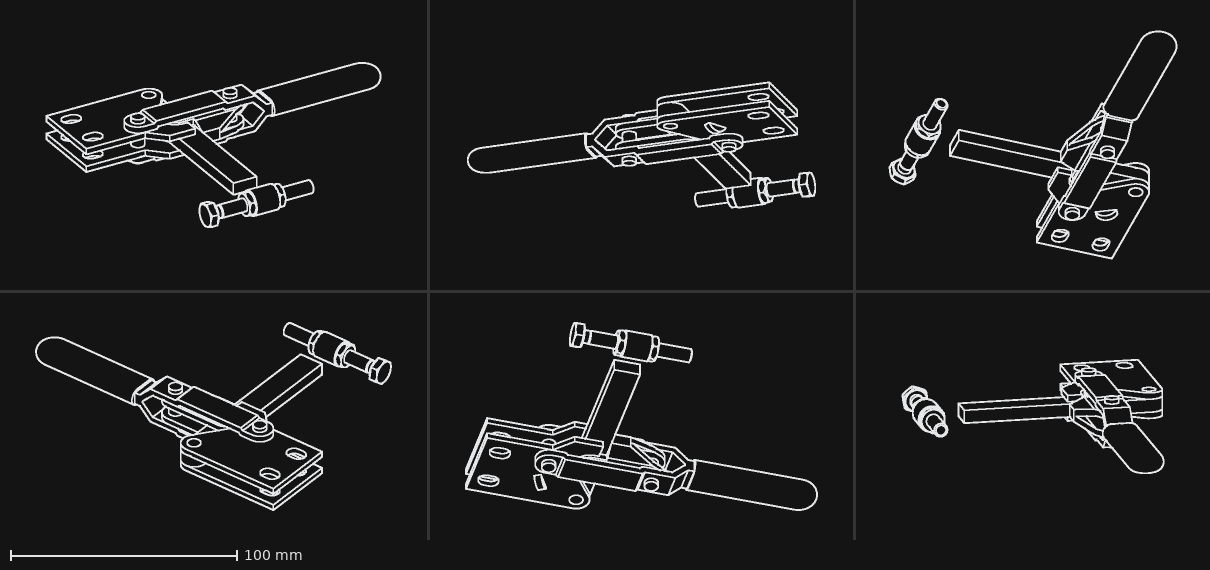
import cadquery as cq
import math


arm_thickness = 6.0
plate_thickness = 2.9
pin_radius = 3.0
pin_half_length = 11.0
bar_width = 12.0
bar_radius = bar_width / 2
arm_width = 11.9
arm_radius = arm_width / 2
gap_half = arm_thickness / 2
plate_outer_z = gap_half + plate_thickness

arm_pivot = (arm_radius, 48.9)
handle_x = 29.0
link_pivot = (handle_x, arm_pivot[1])
lever_pivot = (handle_x, 30.0)
upper_pivot = (handle_x, 77.0)

base_width = 35.3
ear_right = 43.2
ear_bottom = 38.0
ear_top = 51.0
notch_radius = 7.6
slot_length = 9.2
slot_width = 6.7
slot_y = 8.1
slot_xs = (8.0, 27.0)

lug_chord = 9.5
lug_depth = 2.7
lug_thickness = 3.2
lug_center = (12.4, 29.0)
lug_turn = 30

arm_end_x = 90.9

flap_angle = 25
link_edge_slope = 1.83

bar_thickness = 3.0
lever_bulge = 1.0
lever_bend_angle = 45
neck_bend_y = 92.3
bulge_top_y = 72.4
bulge_bottom_y = 34.8
grip_bottom_y = 95.0
grip_top_y = 152.8
grip_radius = 8.2
grip_half_thickness = 4.1

spindle_x = 105.7
spindle_z = -0.2
collar_radius = 6.0
shaft_radius = 3.0
shaft_chamfer_length = 0.5
shaft_chamfer_depth = 0.8
shank_radius = 2.9
shank_top_y = 27.0
shank_taper = 0.5
hex_corner_radius = 6.0
hex_flat_radius = hex_corner_radius * math.cos(math.radians(30))
hex_overhang = hex_corner_radius - hex_flat_radius
head_chamfer_angle = 30
nut_chamfer_angle = 45
head_turn = 40
nut_turn = 30
head_bottom_y = 19.9
head_height = 3.8
washer_radius = 4.9
washer_height = 0.5
nut_height = 3.2
shaft_top_y = 74.0


def offset_point(center, radius, angle):
    """Point at a distance and an angle (degrees) from a centre in XY."""
    turn = math.radians(angle)
    return (center[0] + radius * math.cos(turn), center[1] + radius * math.sin(turn))


def slab(outline, z_low, z_high):
    """Extrude a closed XY outline between two heights."""
    return outline.extrude(z_high - z_low).translate((0, 0, z_low))


def cylinder_z(center, radius, half_length):
    """Cylinder along Z, centred on Z = 0."""
    return cq.Workplane("XY").center(*center).circle(radius).extrude(half_length, both=True)


def with_mirror(body):
    """The body joined with its mirror image below Z = 0."""
    return body.union(body.mirror("XY"))


def make_base():
    tangent_angle = math.degrees(math.acos((arm_radius + notch_radius) / (link_pivot[0] - arm_pivot[0])))
    notch_end_angle = 180 + tangent_angle
    notch_middle_angle = (notch_end_angle + 360) / 2
    outline = (
        cq.Workplane("XY")
        .lineTo(base_width, 0)
        .lineTo(base_width, ear_bottom - (ear_right - base_width))
        .lineTo(ear_right, ear_bottom)
        .lineTo(ear_right, ear_top)
        .lineTo(link_pivot[0] + notch_radius, ear_top)
        .lineTo(link_pivot[0] + notch_radius, link_pivot[1])
        .threePointArc(
            offset_point(link_pivot, notch_radius, notch_middle_angle),
            offset_point(link_pivot, notch_radius, notch_end_angle),
        )
        .lineTo(*offset_point(arm_pivot, arm_radius, tangent_angle))
        .threePointArc(
            offset_point(arm_pivot, arm_radius, (tangent_angle + 180) / 2),
            offset_point(arm_pivot, arm_radius, 180),
        )
        .close()
    )
    plate = slab(outline, gap_half, plate_outer_z)
    slots = (
        cq.Workplane("XY")
        .pushPoints([(x, slot_y) for x in slot_xs])
        .slot2D(slot_length, slot_width, 90)
        .extrude(plate_outer_z)
    )
    pivot_hole = cylinder_z(arm_pivot, pin_radius, plate_outer_z)
    plates = with_mirror(plate.cut(slots).cut(pivot_hole))
    lever_pin = cylinder_z(lever_pivot, pin_radius, pin_half_length)
    return plates.union(lever_pin).union(make_stop_lug())


def make_stop_lug():
    lug = (
        cq.Workplane("XZ")
        .moveTo(-lug_chord / 2, 0)
        .threePointArc((0, -lug_depth), (lug_chord / 2, 0))
        .close()
        .extrude(-lug_thickness)
    )
    lug = lug.rotate((0, 0, 0), (0, 0, 1), -lug_turn)
    return lug.translate((lug_center[0], lug_center[1], -plate_outer_z))


def make_arm():
    y_low = arm_pivot[1] - arm_radius
    y_high = arm_pivot[1] + arm_radius
    outline = (
        cq.Workplane("XY")
        .moveTo(arm_pivot[0], y_low)
        .lineTo(arm_end_x, y_low)
        .lineTo(arm_end_x, y_high)
        .lineTo(arm_pivot[0], y_high)
        .threePointArc(offset_point(arm_pivot, arm_radius, 180), (arm_pivot[0], y_low))
        .close()
    )
    arm = slab(outline, -gap_half, gap_half)
    for pivot in (arm_pivot, link_pivot):
        arm = arm.union(cylinder_z(pivot, pin_radius, plate_outer_z))
    return arm


def make_link():
    left_x = handle_x - bar_radius
    link_top = upper_pivot[1] + bar_radius
    bend_x = link_pivot[0] + notch_radius
    slope = math.tan(math.radians(flap_angle))
    inner_bend_x = bend_x - plate_thickness * math.tan(math.radians(flap_angle / 2))
    section = (
        cq.Workplane("XZ")
        .moveTo(left_x, gap_half)
        .lineTo(left_x, plate_outer_z)
        .lineTo(bend_x, plate_outer_z)
        .lineTo(ear_right, plate_outer_z - (ear_right - bend_x) * slope)
        .lineTo(ear_right, 0)
        .lineTo(inner_bend_x + gap_half / slope, 0)
        .lineTo(inner_bend_x, gap_half)
        .close()
        .extrude(-link_top)
    )
    edge_angle = 90 - math.degrees(math.atan(link_edge_slope))
    edge_start = offset_point(upper_pivot, bar_radius, edge_angle)
    flap_bottom = arm_pivot[1] + arm_radius
    outline = (
        cq.Workplane("XY")
        .moveTo(left_x, link_pivot[1])
        .lineTo(left_x, upper_pivot[1])
        .threePointArc(offset_point(upper_pivot, bar_radius, (180 + edge_angle) / 2), edge_start)
        .lineTo(ear_right, edge_start[1] - (ear_right - edge_start[0]) * link_edge_slope)
        .lineTo(ear_right, flap_bottom)
        .lineTo(handle_x + bar_radius, flap_bottom)
        .lineTo(handle_x + bar_radius, link_pivot[1])
        .threePointArc(offset_point(link_pivot, bar_radius, 270), (left_x, link_pivot[1]))
        .close()
        .extrude(plate_outer_z)
    )
    arm_pin_hole = cylinder_z(link_pivot, pin_radius, plate_outer_z)
    link = with_mirror(section.intersect(outline).cut(arm_pin_hole))
    return link.union(cylinder_z(upper_pivot, pin_radius, pin_half_length))


def make_lever():
    bend_shift = bar_thickness * math.tan(math.radians(lever_bend_angle / 2))
    bar_outer_z = plate_outer_z + bar_thickness
    bottom_y = lever_pivot[1] - bar_radius
    spread = bar_outer_z - bar_thickness
    profile = (
        cq.Workplane("YZ")
        .moveTo(grip_bottom_y, 0)
        .lineTo(grip_bottom_y, bar_thickness)
        .lineTo(neck_bend_y, bar_thickness)
        .lineTo(neck_bend_y - spread, bar_outer_z)
        .lineTo(bulge_top_y, bar_outer_z)
        .lineTo(bulge_top_y - lever_bulge, bar_outer_z + lever_bulge)
        .lineTo(bulge_bottom_y + lever_bulge, bar_outer_z + lever_bulge)
        .lineTo(bulge_bottom_y, bar_outer_z)
        .lineTo(bottom_y, bar_outer_z)
        .lineTo(bottom_y, plate_outer_z)
        .lineTo(bulge_bottom_y + bend_shift, plate_outer_z)
        .lineTo(bulge_bottom_y + bend_shift + lever_bulge, plate_outer_z + lever_bulge)
        .lineTo(bulge_top_y - bend_shift - lever_bulge, plate_outer_z + lever_bulge)
        .lineTo(bulge_top_y - bend_shift, plate_outer_z)
        .lineTo(neck_bend_y - bend_shift - spread, plate_outer_z)
        .lineTo(neck_bend_y - bend_shift, 0)
        .close()
        .extrude(bar_radius, both=True)
        .translate((handle_x, 0, 0))
    )
    left_x = handle_x - bar_radius
    right_x = handle_x + bar_radius
    outline = (
        cq.Workplane("XY")
        .moveTo(left_x, grip_bottom_y)
        .lineTo(left_x, lever_pivot[1])
        .threePointArc((handle_x, bottom_y), (right_x, lever_pivot[1]))
        .lineTo(right_x, grip_bottom_y)
        .close()
        .extrude(pin_half_length)
    )
    lever = with_mirror(profile.intersect(outline))
    for pivot in (lever_pivot, upper_pivot):
        lever = lever.cut(cylinder_z(pivot, pin_radius, pin_half_length))
    return lever


def make_grip():
    tip_y = grip_top_y - grip_radius
    flat_half = grip_radius - grip_half_thickness
    shank = (
        cq.Workplane("XZ")
        .slot2D(2 * grip_radius, 2 * grip_half_thickness)
        .extrude(grip_bottom_y - tip_y)
        .translate((handle_x, grip_bottom_y, 0))
    )
    tip = (
        cq.Workplane("XZ")
        .moveTo(0, -grip_half_thickness)
        .lineTo(flat_half, -grip_half_thickness)
        .threePointArc((grip_radius, 0), (flat_half, grip_half_thickness))
        .lineTo(0, grip_half_thickness)
        .close()
        .revolve(180, (0, 0), (0, 1))
    )
    return shank.union(tip.translate((handle_x, tip_y, 0)))


def make_hex_prism(height, turn):
    """Hexagonal prism along +Y from the origin."""
    prism = cq.Workplane("XZ").polygon(6, 2 * hex_corner_radius).extrude(-height)
    return prism.rotate((0, 0, 0), (0, 1, 0), turn)


def make_head():
    drop = hex_overhang * math.tan(math.radians(head_chamfer_angle))
    envelope = (
        cq.Workplane("XY")
        .lineTo(hex_flat_radius, 0)
        .lineTo(hex_corner_radius, drop)
        .lineTo(hex_corner_radius, head_height)
        .lineTo(0, head_height)
        .close()
        .revolve(360, (0, 0), (0, 1))
    )
    return make_hex_prism(head_height, head_turn).intersect(envelope)


def make_nut():
    drop = hex_overhang * math.tan(math.radians(nut_chamfer_angle))
    envelope = (
        cq.Workplane("XY")
        .lineTo(hex_flat_radius, 0)
        .lineTo(hex_corner_radius, drop)
        .lineTo(hex_corner_radius, nut_height - drop)
        .lineTo(hex_flat_radius, nut_height)
        .lineTo(0, nut_height)
        .close()
        .revolve(360, (0, 0), (0, 1))
    )
    return make_hex_prism(nut_height, nut_turn).intersect(envelope)


def make_spindle():
    collar_low = arm_pivot[1] - arm_radius
    collar_high = arm_pivot[1] + arm_radius
    washer_low = head_bottom_y + head_height
    washer_high = washer_low + washer_height
    turned = (
        cq.Workplane("XY")
        .moveTo(0, head_bottom_y)
        .lineTo(shank_radius, head_bottom_y)
        .lineTo(shank_radius, washer_low)
        .lineTo(washer_radius, washer_low)
        .lineTo(washer_radius, washer_high)
        .lineTo(shank_radius, washer_high)
        .lineTo(shank_radius, shank_top_y)
        .lineTo(shaft_radius, shank_top_y + shank_taper)
        .lineTo(shaft_radius, collar_low)
        .lineTo(collar_radius, collar_low)
        .lineTo(collar_radius, collar_high)
        .lineTo(shaft_radius, collar_high)
        .lineTo(shaft_radius, shaft_top_y - shaft_chamfer_length)
        .lineTo(shaft_radius - shaft_chamfer_depth, shaft_top_y)
        .lineTo(0, shaft_top_y)
        .close()
        .revolve(360, (0, 0), (0, 1))
    )
    head = make_head().translate((0, head_bottom_y, 0))
    lower_nut = make_nut().translate((0, collar_low - nut_height, 0))
    upper_nut = make_nut().translate((0, collar_high, 0))
    spindle = turned.union(head).union(lower_nut).union(upper_nut)
    return spindle.translate((spindle_x, 0, spindle_z))


base = make_base()
arm = make_arm()
link = make_link()
lever = make_lever()
grip = make_grip()
spindle = make_spindle()

result = cq.Compound.makeCompound(
    [base.val(), arm.val(), link.val(), lever.val(), grip.val(), spindle.val()]
)